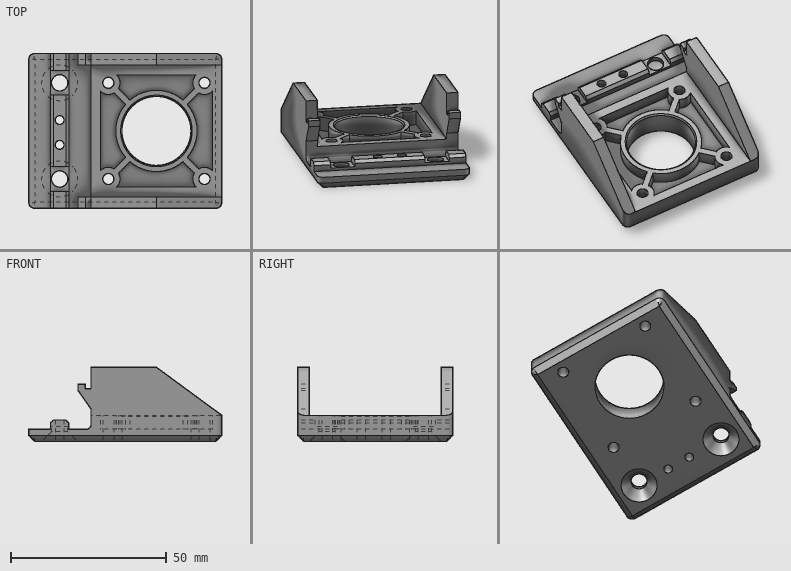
import cadquery as cq

LENGTH = 62.3
WIDTH = 50.0
HEIGHT = 24.0
CORNER_RADIUS = 2.0
BOTTOM_CHAMFER = CORNER_RADIUS
FLARE_ANGLE = -45

PLATE_TOP = 4.0
SEAT_TOP = 8.5
SEAT_FRONT_X = 20.1
SEAT_FILLET = 1.5

WALL_THICKNESS = 3.75
WALL_SLOPE_START_X = 41.2

HOOK_FRONT_X = 15.9
HOOK_TOP = 18.5
HOOK_LIP_WIDTH = 2.4
HOOK_SLOT_DEPTH = 1.4
HOOK_LIP_BOTTOM = 16.5
HOOK_ROOT = 10.5

RAIL_FRONT_X = 7.0
RAIL_BACK_X = 13.0
RAIL_TOP = 7.0
RAIL_CHAMFER = 1.0
RAIL_HOLE_X = (RAIL_FRONT_X + RAIL_BACK_X) / 2
RAIL_HOLE_DIAMETER = 2.8
RAIL_HOLE_SPACING = 8.0
RAIL_HOLE_OFFSET = -0.5

NOTCH_FLOOR = 4.9
NOTCH_WIDTH = 8.0
NOTCH_SPACING = 31.0
NOTCH_HOLE_DIAMETER = 5.2
COUNTERSINK_DEPTH = 3.2

MOTOR_X = 41.2
MOTOR_BORE_DIAMETER = 22.2
MOTOR_BORE_CHAMFER = 0.45
MOTOR_RING_DIAMETER = 26.2
MOTOR_SCREW_SPACING = 31.0
MOTOR_SCREW_DIAMETER = 3.5
MOTOR_BOSS_DIAMETER = 7.5
MOTOR_RIB_WIDTH = 2.0
POCKET_SIDE = 36.2
POCKET_FLOOR = 4.0


def pair_across(x, spacing, middle=0):
    """Two points at x, spaced evenly about y = middle."""
    return [(x, middle - spacing / 2), (x, middle + spacing / 2)]


def through_holes(points, diameter):
    """Cylinders through the full height at the given points."""
    return cq.Workplane("XY").pushPoints(points).circle(diameter / 2).extrude(HEIGHT)


def make_envelope():
    """Full-height block with rounded corners and a chamfered bottom edge."""
    bottom = cq.Workplane("XY", origin=(LENGTH / 2, 0, 0)).rect(
        LENGTH - 2 * BOTTOM_CHAMFER, WIDTH - 2 * BOTTOM_CHAMFER
    )
    flared_bottom = bottom.extrude(BOTTOM_CHAMFER, taper=FLARE_ANGLE)
    upper = (
        cq.Workplane("XY", origin=(LENGTH / 2, 0, BOTTOM_CHAMFER))
        .rect(LENGTH, WIDTH)
        .extrude(HEIGHT - BOTTOM_CHAMFER)
        .edges("|Z")
        .fillet(CORNER_RADIUS)
    )
    return flared_bottom.union(upper)


def extrude_across(profile, width):
    """Extrude an XZ profile symmetrically about the middle plane."""
    return profile.close().extrude(width / 2, both=True)


def make_body():
    """Base plate, seat and hooked side walls before any holes."""
    lip_back_x = HOOK_FRONT_X + HOOK_LIP_WIDTH
    slot_floor = HOOK_TOP - HOOK_SLOT_DEPTH
    side = (
        cq.Workplane("XZ")
        .lineTo(LENGTH, 0)
        .lineTo(LENGTH, SEAT_TOP)
        .lineTo(WALL_SLOPE_START_X, HEIGHT)
        .lineTo(SEAT_FRONT_X, HEIGHT)
        .lineTo(SEAT_FRONT_X, slot_floor)
        .lineTo(lip_back_x, slot_floor)
        .lineTo(lip_back_x, HOOK_TOP)
        .lineTo(HOOK_FRONT_X, HOOK_TOP)
        .lineTo(HOOK_FRONT_X, HOOK_LIP_BOTTOM)
        .lineTo(SEAT_FRONT_X, HOOK_ROOT)
        .lineTo(SEAT_FRONT_X, PLATE_TOP + SEAT_FILLET)
        .radiusArc((SEAT_FRONT_X - SEAT_FILLET, PLATE_TOP), SEAT_FILLET)
        .lineTo(0, PLATE_TOP)
    )
    space_between_walls = (
        cq.Workplane("XY")
        .workplane(offset=SEAT_TOP)
        .rect(2 * LENGTH, WIDTH - 2 * WALL_THICKNESS)
        .extrude(HEIGHT)
    )
    return extrude_across(side, WIDTH).cut(space_between_walls)


def make_rail():
    """Chamfered rail, lowered at the two notches."""
    shoulder = RAIL_TOP - RAIL_CHAMFER
    section = (
        cq.Workplane("XZ")
        .moveTo(RAIL_FRONT_X, 0)
        .lineTo(RAIL_BACK_X, 0)
        .lineTo(RAIL_BACK_X, shoulder)
        .lineTo(RAIL_BACK_X - RAIL_CHAMFER, RAIL_TOP)
        .lineTo(RAIL_FRONT_X + RAIL_CHAMFER, RAIL_TOP)
        .lineTo(RAIL_FRONT_X, shoulder)
    )
    notches = (
        cq.Workplane("XY")
        .workplane(offset=NOTCH_FLOOR)
        .pushPoints(pair_across(RAIL_HOLE_X, NOTCH_SPACING))
        .rect(RAIL_BACK_X - RAIL_FRONT_X, NOTCH_WIDTH)
        .extrude(HEIGHT)
    )
    return extrude_across(section, WIDTH).cut(notches)


def make_pocket():
    """Square pocket around the bore, leaving the ring, screw bosses and ribs standing."""
    floor = cq.Workplane("XY", origin=(MOTOR_X, 0, POCKET_FLOOR))
    depth = SEAT_TOP - POCKET_FLOOR
    diagonal = MOTOR_SCREW_SPACING * 2 ** 0.5
    pocket = floor.rect(POCKET_SIDE, POCKET_SIDE).extrude(depth)
    pocket = pocket.cut(floor.circle(MOTOR_RING_DIAMETER / 2).extrude(depth))
    bosses = (
        floor.rect(MOTOR_SCREW_SPACING, MOTOR_SCREW_SPACING, forConstruction=True)
        .vertices()
        .circle(MOTOR_BOSS_DIAMETER / 2)
        .extrude(depth)
    )
    pocket = pocket.cut(bosses)
    for angle in (45, -45):
        rib = floor.transformed(rotate=(0, 0, angle)).rect(diagonal, MOTOR_RIB_WIDTH).extrude(depth)
        pocket = pocket.cut(rib)
    return pocket


def make_bore():
    """Motor bore, widened by a chamfer at the seat surface."""
    bore_radius = MOTOR_BORE_DIAMETER / 2
    bore = cq.Workplane("XY", origin=(MOTOR_X, 0, 0)).circle(bore_radius).extrude(SEAT_TOP)
    mouth = cq.Solid.makeCone(
        bore_radius,
        bore_radius + MOTOR_BORE_CHAMFER,
        MOTOR_BORE_CHAMFER,
        pnt=cq.Vector(MOTOR_X, 0, SEAT_TOP - MOTOR_BORE_CHAMFER),
    )
    return bore.union(cq.Workplane(mouth))


def make_notch_holes():
    """Large holes in the notches, countersunk from the underside."""
    centers = pair_across(RAIL_HOLE_X, NOTCH_SPACING)
    radius = NOTCH_HOLE_DIAMETER / 2
    holes = through_holes(centers, NOTCH_HOLE_DIAMETER)
    cone = cq.Solid.makeCone(radius + COUNTERSINK_DEPTH, radius, COUNTERSINK_DEPTH)
    for x, y in centers:
        holes = holes.union(cq.Workplane(cone.translate(cq.Vector(x, y, 0))))
    return holes


half_screw_spacing = MOTOR_SCREW_SPACING / 2
motor_screws = [
    point
    for x in (MOTOR_X - half_screw_spacing, MOTOR_X + half_screw_spacing)
    for point in pair_across(x, MOTOR_SCREW_SPACING)
]
rail_holes = pair_across(RAIL_HOLE_X, RAIL_HOLE_SPACING, RAIL_HOLE_OFFSET)

result = make_body().union(make_rail()).intersect(make_envelope())
result = result.cut(make_pocket()).cut(make_bore())
result = result.cut(through_holes(motor_screws, MOTOR_SCREW_DIAMETER))
result = result.cut(through_holes(rail_holes, RAIL_HOLE_DIAMETER))
result = result.cut(make_notch_holes())